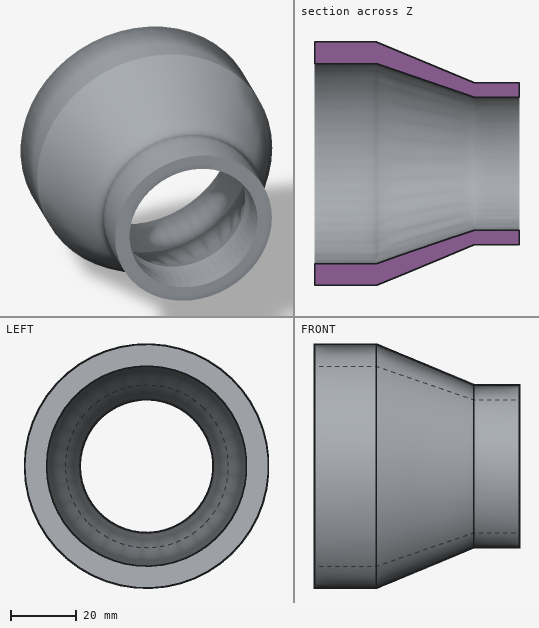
import cadquery as cq

total_length = 63.0
large_length = 19.0
small_length = 14.0
large_outer_diameter = 75.0
large_bore_diameter = 61.4
small_outer_diameter = 50.0
small_bore_diameter = 40.8

taper_start = large_length
taper_end = total_length - small_length


def stepped_taper(large_diameter, small_diameter):
    """Solid of revolution: large cylinder, cone, then small cylinder."""
    large_radius = large_diameter / 2
    small_radius = small_diameter / 2
    half_profile = [
        (0, 0),
        (0, large_radius),
        (taper_start, large_radius),
        (taper_end, small_radius),
        (total_length, small_radius),
        (total_length, 0),
    ]
    return cq.Workplane("XY").polyline(half_profile).close().revolve(360, (0, 0), (1, 0))


body = stepped_taper(large_outer_diameter, small_outer_diameter)
bore = stepped_taper(large_bore_diameter, small_bore_diameter)
result = body.cut(bore)